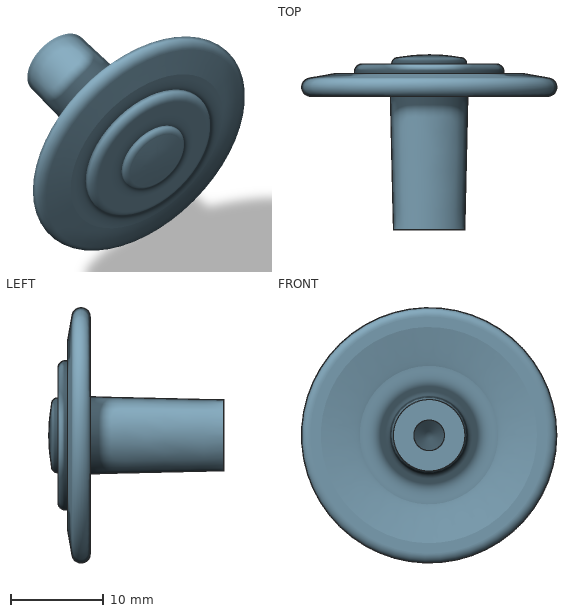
import cadquery as cq
import math


wheel_radius = 13.85
bead_radius = 1.0
back_angle = math.radians(10)
web_back = 2.5
recess_outer_radius = 11.72
recess_floor_radius = 7.5
recess_depth = 0.83

disc_radius = 8.12
disc_back = 3.52
disc_round = 0.85
boss_radius = 4.07
boss_round = 0.7
dome_edge_radius = boss_radius - boss_round
dome_edge = disc_back + boss_round
dome_top = 4.52

stem_length = 14.5
stem_tip_radius = 3.88
stem_rim_radius = 4.2
stem_root_round = 0.5

hole_radius = 1.65
hole_depth = 9.97
drill_half_angle = math.radians(59)


def arc_middle(center, radius, start_angle, end_angle):
    """Point halfway along a circular arc between two angles in radians."""
    angle = (start_angle + end_angle) / 2
    return (center[0] + radius * math.cos(angle), center[1] + radius * math.sin(angle))


def make_wheel():
    """Rim bead, sloped back and conical front recess."""
    bead_center = (wheel_radius - bead_radius, bead_radius)
    slope_normal = math.pi / 2 - back_angle
    bead_end = (
        bead_center[0] + bead_radius * math.cos(slope_normal),
        bead_center[1] + bead_radius * math.sin(slope_normal),
    )
    slope_end_radius = bead_end[0] - (web_back - bead_end[1]) / math.tan(back_angle)
    profile = (
        cq.Workplane("XY")
        .moveTo(0, recess_depth)
        .lineTo(recess_floor_radius, recess_depth)
        .lineTo(recess_outer_radius, 0)
        .lineTo(bead_center[0], 0)
        .threePointArc(arc_middle(bead_center, bead_radius, -math.pi / 2, slope_normal), bead_end)
        .lineTo(slope_end_radius, web_back)
        .lineTo(0, web_back)
        .close()
    )
    return profile.revolve(360, (0, 0, 0), (0, 1, 0))


def make_back_steps():
    """Rounded disc and domed boss stacked on the back of the wheel."""
    disc_round_center = (disc_radius - disc_round, disc_back - disc_round)
    boss_round_center = (dome_edge_radius, disc_back)
    dome_radius = (dome_edge_radius**2 + (dome_top - dome_edge) ** 2) / (2 * (dome_top - dome_edge))
    dome_center = (0, dome_top - dome_radius)
    dome_edge_angle = math.acos(dome_edge_radius / dome_radius)
    profile = (
        cq.Workplane("XY")
        .moveTo(0, web_back)
        .lineTo(disc_radius, web_back)
        .lineTo(disc_radius, disc_round_center[1])
        .threePointArc(
            arc_middle(disc_round_center, disc_round, 0, math.pi / 2),
            (disc_round_center[0], disc_back),
        )
        .lineTo(boss_radius, disc_back)
        .threePointArc(
            arc_middle(boss_round_center, boss_round, 0, math.pi / 2),
            (dome_edge_radius, dome_edge),
        )
        .threePointArc(
            arc_middle(dome_center, dome_radius, dome_edge_angle, math.pi / 2),
            (0, dome_top),
        )
        .close()
    )
    return profile.revolve(360, (0, 0, 0), (0, 1, 0))


def make_stem():
    """Tapered stem reaching the floor of the recess."""
    taper = (stem_rim_radius - stem_tip_radius) / stem_length
    stem_root_radius = stem_rim_radius + taper * recess_depth
    profile = (
        cq.Workplane("XY")
        .moveTo(0, -stem_length)
        .lineTo(stem_tip_radius, -stem_length)
        .lineTo(stem_root_radius, recess_depth)
        .lineTo(0, recess_depth)
        .close()
    )
    return profile.revolve(360, (0, 0, 0), (0, 1, 0))


def round_stem_root(body):
    """Fillet the circle where the stem meets the recess floor."""
    reach = 1.2 * stem_rim_radius
    margin = 0.03
    root = cq.selectors.BoxSelector(
        (-reach, recess_depth - margin, -reach),
        (reach, recess_depth + margin, reach),
        boundingbox=True,
    )
    return body.edges(root).fillet(stem_root_round)


def make_hole():
    """Blind hole with a conical drill point, open at the stem tip."""
    hole_bottom = hole_depth - stem_length
    profile = (
        cq.Workplane("XY")
        .moveTo(0, -stem_length)
        .lineTo(hole_radius, -stem_length)
        .lineTo(hole_radius, hole_bottom)
        .lineTo(0, hole_bottom + hole_radius / math.tan(drill_half_angle))
        .close()
    )
    return profile.revolve(360, (0, 0, 0), (0, 1, 0))


body = make_wheel().union(make_back_steps()).union(make_stem())
result = round_stem_root(body).cut(make_hole())